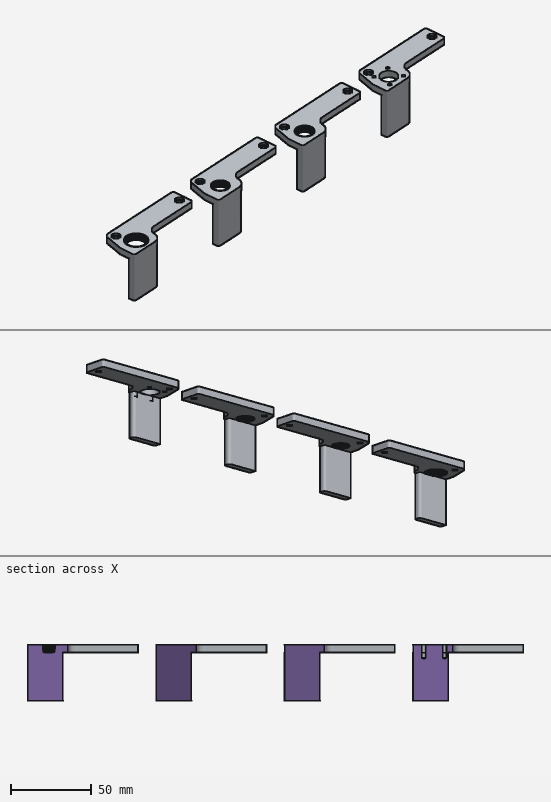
import cadquery as cq
import math

BRACKET_COUNT = 4
ROW_LENGTH = 309.0
BRACKET_LENGTH = 69.0
BRACKET_WIDTH = 28.0
BRACKET_HEIGHT = 35.0
PITCH = (ROW_LENGTH - BRACKET_LENGTH) / (BRACKET_COUNT - 1)

PLATE_THICKNESS = 5.0
ARM_WIDTH = 16.5
CORNER_RADIUS = 1.5
HEEL_RADIUS = 3.7
SLANT_ANGLE = 15.0
SHOULDER_ANGLE = 15.0
SHOULDER_Y = 27.5
SHOULDER_RADIUS = 6.8
SHOULDER_INNER_RADIUS = 6.0

LEG_THICKNESS = 5.0
LEG_WIDTH = 22.2
LEG_EDGE_RADIUS = 2.0

SCREW_DIAMETER = 3.5
SCREW_HEAD_DIAMETER = 6.0
SCREW_HEAD_DEPTH = 1.5
SCREW_POSITIONS = [(9.3, BRACKET_LENGTH - 4.5), (5.5, 8.3)]

BORE_X = 18.0
BORE_Y = 13.3
PLAIN_BORE_DIAMETER = 12.0
THREADED_BORES = [(12.7, 11.5), (12.0, 10.8), (15.5, 14.0)]
THREAD_TURNS = 5
THREAD_PITCH = PLATE_THICKNESS / THREAD_TURNS
THREAD_LEAD_IN = THREAD_PITCH / 4

PILOT_DIAMETER = 2.3
PILOT_SPACING = 13.0
PILOT_DEPTH = 8.0
PILOT_TIP_ANGLE = 118.0


def bracket_outline(thickness):
    """Full bracket footprint, extruded down from Z = 0."""
    heel_y = ARM_WIDTH * math.tan(math.radians(SLANT_ANGLE))
    shoulder_drop = (BRACKET_WIDTH - ARM_WIDTH) * math.tan(math.radians(SHOULDER_ANGLE))
    shoulder_end_y = SHOULDER_Y - shoulder_drop
    solid = (
        cq.Workplane("XY")
        .moveTo(0, heel_y)
        .lineTo(ARM_WIDTH, 0)
        .lineTo(BRACKET_WIDTH, 0)
        .lineTo(BRACKET_WIDTH, shoulder_end_y)
        .lineTo(ARM_WIDTH, SHOULDER_Y)
        .lineTo(ARM_WIDTH, BRACKET_LENGTH)
        .lineTo(0, BRACKET_LENGTH)
        .close()
        .extrude(-thickness)
    )

    def edge_at(x, y):
        return cq.selectors.NearestToPointSelector((x, y, -thickness / 2))

    rounded_corners = [
        (0, heel_y, HEEL_RADIUS),
        (BRACKET_WIDTH, 0, CORNER_RADIUS),
        (BRACKET_WIDTH, shoulder_end_y, SHOULDER_RADIUS),
        (ARM_WIDTH, SHOULDER_Y, SHOULDER_INNER_RADIUS),
        (ARM_WIDTH, BRACKET_LENGTH, CORNER_RADIUS),
        (0, BRACKET_LENGTH, CORNER_RADIUS),
    ]
    for x, y, radius in rounded_corners:
        solid = solid.edges("|Z").edges(edge_at(x, y)).fillet(radius)
    return solid


def leg():
    """Upright wall under the +X edge, following the plate outline."""
    wall = (
        cq.Workplane("XY")
        .box(LEG_THICKNESS, LEG_WIDTH, BRACKET_HEIGHT, centered=False)
        .translate((BRACKET_WIDTH - LEG_THICKNESS, 0, -BRACKET_HEIGHT))
        .edges("|Z and <X and >Y")
        .fillet(LEG_EDGE_RADIUS)
    )
    return wall.intersect(bracket_outline(BRACKET_HEIGHT))


def drill(x, y, diameter, depth):
    """Cylinder going down from the top face."""
    return cq.Workplane("XY").center(x, y).circle(diameter / 2).extrude(-depth)


def screw_holes():
    cutter = cq.Workplane("XY")
    for x, y in SCREW_POSITIONS:
        cutter = cutter.union(drill(x, y, SCREW_DIAMETER, PLATE_THICKNESS))
        cutter = cutter.union(drill(x, y, SCREW_HEAD_DIAMETER, SCREW_HEAD_DEPTH))
    return cutter


def pilot_holes():
    """Four drilled holes with conical tips in a square around the bore."""
    radius = PILOT_DIAMETER / 2
    tip_length = radius / math.tan(math.radians(PILOT_TIP_ANGLE / 2))
    drill_shape = (
        cq.Workplane("XZ")
        .polyline([(0, 0), (radius, 0), (radius, -PILOT_DEPTH), (0, -PILOT_DEPTH - tip_length)])
        .close()
        .revolve(360, (0, 0, 0), (0, 1, 0))
        .val()
    )
    return (
        cq.Workplane("XY")
        .center(BORE_X, BORE_Y)
        .rect(PILOT_SPACING, PILOT_SPACING, forConstruction=True)
        .vertices()
        .eachpoint(lambda place: drill_shape.moved(place), combine=True)
    )


def blank_bracket():
    """Bracket with its screw holes, before the bore is cut."""
    return bracket_outline(PLATE_THICKNESS).union(leg()).cut(screw_holes())


def plain_bore_bracket():
    bore = drill(BORE_X, BORE_Y, PLAIN_BORE_DIAMETER, PLATE_THICKNESS)
    return blank_bracket().cut(bore).cut(pilot_holes())


def thread_groove(major_diameter, minor_diameter, top_z):
    """Ring with a V-shaped rim, one pitch high."""
    minor_radius = minor_diameter / 2
    bottom_z = top_z - THREAD_PITCH
    middle_z = top_z - THREAD_PITCH / 2
    return (
        cq.Workplane("XZ")
        .polyline([
            (0, top_z),
            (minor_radius, top_z),
            (major_diameter / 2, middle_z),
            (minor_radius, bottom_z),
            (0, bottom_z),
        ])
        .close()
        .revolve(360, (0, 0, 0), (0, 1, 0))
        .translate((BORE_X, BORE_Y, 0))
    )


def threaded_bore_bracket(major_diameter, minor_diameter):
    """Bracket whose bore carries a thread, simplified to a stack of V grooves."""
    bracket = blank_bracket().cut(drill(BORE_X, BORE_Y, minor_diameter, PLATE_THICKNESS))
    for turn in range(THREAD_TURNS):
        top_z = THREAD_LEAD_IN - turn * THREAD_PITCH
        bracket = bracket.cut(thread_groove(major_diameter, minor_diameter, top_z))
    return bracket


brackets = [plain_bore_bracket()]
for major_diameter, minor_diameter in THREADED_BORES:
    brackets.append(threaded_bore_bracket(major_diameter, minor_diameter))

placed_brackets = []
for index, bracket in enumerate(brackets):
    row_y = (BRACKET_COUNT - 1 - index) * PITCH
    placed_brackets.append(bracket.translate((0, row_y, 0)).solids().val())

result = cq.Compound.makeCompound(placed_brackets)